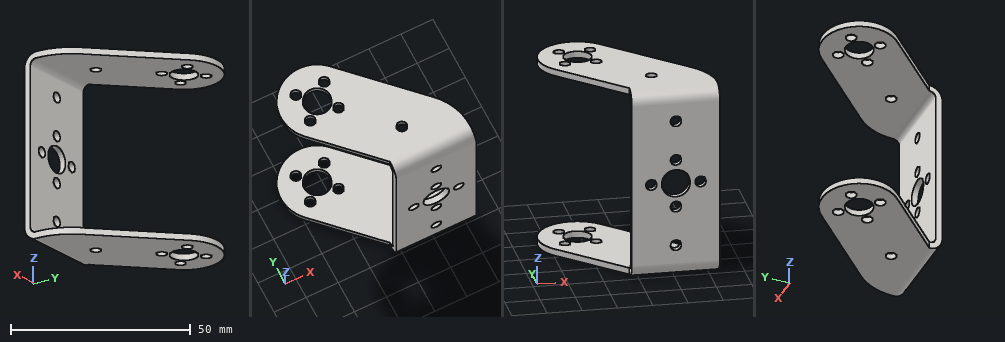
import cadquery as cq
import math

height = 56.0
width = 46.0
depth = 40.95
sheet = 2.0
bend_radius = 4.0

arm_radius = 11.3
arm_x = arm_radius
arm_y = depth - arm_radius
diagonal = arm_radius * math.sqrt(0.5)

web_left = arm_x + arm_y - 2 * diagonal - bend_radius
web_x = (web_left + width) / 2

small_hole = 3.0
large_hole = 8.0
web_hole_radius = 7.0
web_outer_hole = 18.6
arm_hole_offset = 4.4
arm_single_offset = 17.5


def box_between(x, y, z):
    """Box spanning the given (start, end) ranges."""
    size = [end - start for start, end in (x, y, z)]
    return cq.Workplane("XY").box(*size, centered=False).translate((x[0], y[0], z[0]))


def channel():
    """U-shaped sheet with rounded bends, open towards +Y."""
    outer = box_between((0, width), (0, depth), (-height / 2, height / 2))
    outer = outer.edges("|X and <Y").fillet(bend_radius)
    inner_half = height / 2 - sheet
    inner = box_between((0, width), (sheet, depth), (-inner_half, inner_half))
    inner = inner.edges("|X and <Y").fillet(bend_radius - sheet)
    return outer.cut(inner)


def outline():
    """Bracket outline in XY, extruded through the full height."""
    corner_y = arm_x + arm_y + 2 * diagonal - width
    tangent_length = corner_y - bend_radius
    shoulder_radius = tangent_length / math.tan(math.pi / 8)
    shoulder_center_x = width - shoulder_radius
    shoulder_start = tangent_length * math.sqrt(0.5)
    mid_angle = math.pi / 8
    return (
        cq.Workplane("XY", origin=(0, 0, -height / 2))
        .moveTo(web_left, 0)
        .lineTo(width, 0)
        .lineTo(width, bend_radius)
        .threePointArc(
            (
                shoulder_center_x + shoulder_radius * math.cos(mid_angle),
                bend_radius + shoulder_radius * math.sin(mid_angle),
            ),
            (width - shoulder_start, corner_y + shoulder_start),
        )
        .lineTo(arm_x + diagonal, arm_y + diagonal)
        .threePointArc(
            (arm_x - diagonal, arm_y + diagonal),
            (arm_x - diagonal, arm_y - diagonal),
        )
        .lineTo(web_left, bend_radius)
        .close()
        .extrude(height)
    )


def arm_holes():
    """Cutters passing through both arms."""
    side = 2 * arm_hole_offset
    plane = cq.Workplane("XY", origin=(arm_x, arm_y, -height / 2))
    center = plane.circle(large_hole / 2).extrude(height)
    square = plane.rect(side, side, forConstruction=True).vertices()
    square = square.circle(small_hole / 2).extrude(height)
    single = plane.center(arm_single_offset, -arm_single_offset)
    single = single.circle(small_hole / 2).extrude(height)
    return center.union(square).union(single)


def web_holes():
    """Cutters passing through the web."""
    plane = cq.Workplane("XZ", origin=(web_x, sheet, 0))
    center = plane.circle(large_hole / 2).extrude(sheet)
    ring = plane.polarArray(web_hole_radius, 0, 360, 4).circle(small_hole / 2).extrude(sheet)
    ends = plane.pushPoints([(0, -web_outer_hole), (0, web_outer_hole)])
    ends = ends.circle(small_hole / 2).extrude(sheet)
    return center.union(ring).union(ends)


result = channel().intersect(outline()).cut(arm_holes()).cut(web_holes())